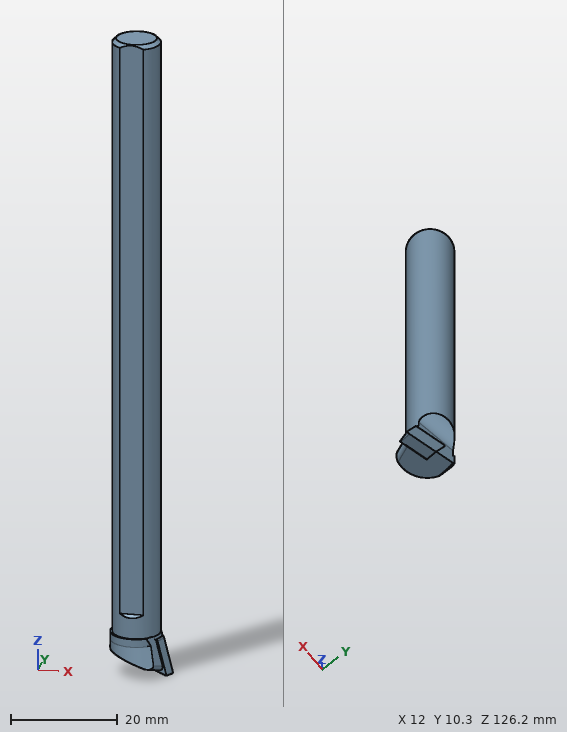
import cadquery as cq
import math

LENGTH = 126.2

SHANK_RADIUS = 4.61
SHANK_CHAMFER = 0.8
FLAT_WIDTH = 4.5
FLAT_END_Z = 12.8
FLAT_DISTANCE = math.sqrt(SHANK_RADIUS**2 - (FLAT_WIDTH / 2) ** 2)

HEAD_RADIUS = 4.99
HEAD_TOP_Z = 8.1
FLARE_TOP_Z = 6.6
FLARE_RATE = 0.21
HEAD_CORNER_RADIUS = 2.8
HEAD_NOSE_RADIUS = 0.8
FLANK_CLEARANCE = 10.0

INSERT_ANGLE = 55.0
INSERT_EDGE = 7.7
INSERT_THICKNESS = 2.4
INSERT_CLEARANCE = 7.0
INSERT_NOSE_RADIUS = 0.4
SHARP_TIP = (7.2, 0.0, -0.21)
EDGE_SLOPE = 18.7
RADIAL_TILT = 10.5
AXIAL_TILT = 2.0
EDGE_OVERHANG = 0.19

FLUTE_FLOOR_TOP_Z = 10.4
FLUTE_RUNOUT_RADIUS = 5.0

CUT_SIZE = 37.9
CUT_DEPTH = 11.4

tilt = math.radians(RADIAL_TILT)
rise = math.radians(AXIAL_TILT)
RAKE_PLANE = cq.Plane(
    origin=SHARP_TIP,
    xDir=(-math.cos(tilt), math.sin(tilt), 0),
    normal=(
        math.sin(tilt) * math.cos(rise),
        math.cos(tilt) * math.cos(rise),
        -math.sin(rise),
    ),
)


def edge_point(distance, degrees):
    """Point in the rake plane at a distance from the sharp tip."""
    angle = math.radians(degrees)
    return (distance * math.cos(angle), distance * math.sin(angle))


def make_insert():
    end_corner = edge_point(INSERT_EDGE, EDGE_SLOPE)
    side_corner = edge_point(INSERT_EDGE, EDGE_SLOPE + INSERT_ANGLE)
    far_corner = (end_corner[0] + side_corner[0], end_corner[1] + side_corner[1])
    rhombus = (
        cq.Sketch()
        .polygon([(0, 0), end_corner, far_corner, side_corner, (0, 0)])
        .vertices()
        .fillet(INSERT_NOSE_RADIUS)
    )
    return cq.Workplane(RAKE_PLANE).placeSketch(rhombus).extrude(-INSERT_THICKNESS, taper=INSERT_CLEARANCE)


def make_shank():
    shank = (
        cq.Workplane("XY", origin=(0, 0, HEAD_TOP_Z))
        .circle(SHANK_RADIUS)
        .extrude(LENGTH - HEAD_TOP_Z)
        .faces(">Z")
        .chamfer(SHANK_CHAMFER)
    )
    flat_depth = SHANK_RADIUS - FLAT_DISTANCE
    flat_cut = (
        cq.Workplane("YZ")
        .moveTo(-FLAT_DISTANCE, LENGTH)
        .lineTo(-FLAT_DISTANCE, FLAT_END_Z)
        .lineTo(-SHANK_RADIUS, FLAT_END_Z - flat_depth)
        .lineTo(-SHANK_RADIUS, LENGTH)
        .close()
        .extrude(SHANK_RADIUS, both=True)
    )
    return shank.cut(flat_cut)


def make_head():
    collar = (
        cq.Workplane("XY", origin=(0, 0, FLARE_TOP_Z))
        .circle(HEAD_RADIUS)
        .extrude(HEAD_TOP_Z - FLARE_TOP_Z)
    )
    flare_bottom_z = SHARP_TIP[2]
    flare_height = FLARE_TOP_Z - flare_bottom_z
    growth = FLARE_RATE * flare_height
    flare = (
        cq.Workplane("XY", origin=(0, 0, flare_bottom_z))
        .center(growth, 0)
        .circle(HEAD_RADIUS + growth)
        .workplane(offset=flare_height)
        .center(-growth, 0)
        .circle(HEAD_RADIUS)
        .loft(ruled=True)
    )
    head = collar.union(flare)
    return head.intersect(make_head_envelope())


def make_head_envelope():
    """Space below the rake face, behind both flanks and inside the rounded rear corner."""
    side_slope = EDGE_SLOPE + INSERT_ANGLE
    end_far = edge_point(CUT_SIZE, EDGE_SLOPE)
    side_far = edge_point(CUT_SIZE, side_slope)
    far_corner = (end_far[0] + side_far[0], end_far[1] + side_far[1])
    half_angle = INSERT_ANGLE / 2
    inset_distance = EDGE_OVERHANG / math.sin(math.radians(half_angle))
    inset = edge_point(inset_distance, EDGE_SLOPE + half_angle)
    nose_middle = RAKE_PLANE.toWorldCoords((*inset, -CUT_DEPTH / 2)).toTuple()
    flanks = (
        cq.Workplane(RAKE_PLANE)
        .center(*inset)
        .polyline([(0, 0), end_far, far_corner, side_far])
        .close()
        .extrude(-CUT_DEPTH, taper=FLANK_CLEARANCE)
        .edges(cq.selectors.NearestToPointSelector(nose_middle))
        .fillet(HEAD_NOSE_RADIUS)
    )
    tip_x, _, tip_z = SHARP_TIP
    rear_z = tip_z + (tip_x + HEAD_RADIUS) * math.tan(math.radians(EDGE_SLOPE))
    rounded_rear = (
        cq.Workplane("XZ")
        .polyline([(tip_x, tip_z), (-HEAD_RADIUS, rear_z), (-HEAD_RADIUS, CUT_SIZE), (tip_x, CUT_SIZE)])
        .close()
        .extrude(CUT_SIZE, both=True)
        .edges(cq.selectors.NearestToPointSelector((-HEAD_RADIUS, 0, rear_z)))
        .fillet(HEAD_CORNER_RADIUS)
    )
    return flanks.intersect(rounded_rear)


def make_flute_cut():
    """Chip space over the rake face, with a concave runout into the shank."""
    floor_top = FLUTE_FLOOR_TOP_Z - SHARP_TIP[2]
    runout = FLUTE_RUNOUT_RADIUS
    profile_plane = cq.Plane(RAKE_PLANE.origin, RAKE_PLANE.zDir, -RAKE_PLANE.xDir)
    return (
        cq.Workplane(profile_plane)
        .moveTo(0, 0)
        .lineTo(0, floor_top)
        .radiusArc((runout, floor_top + runout), runout)
        .lineTo(CUT_SIZE, floor_top + runout)
        .lineTo(CUT_SIZE, 0)
        .close()
        .extrude(CUT_SIZE, both=True)
    )


insert = make_insert()
holder = make_shank().union(make_head()).cut(make_flute_cut()).cut(insert)

result = cq.Compound.makeCompound([holder.solids().val(), insert.val()])